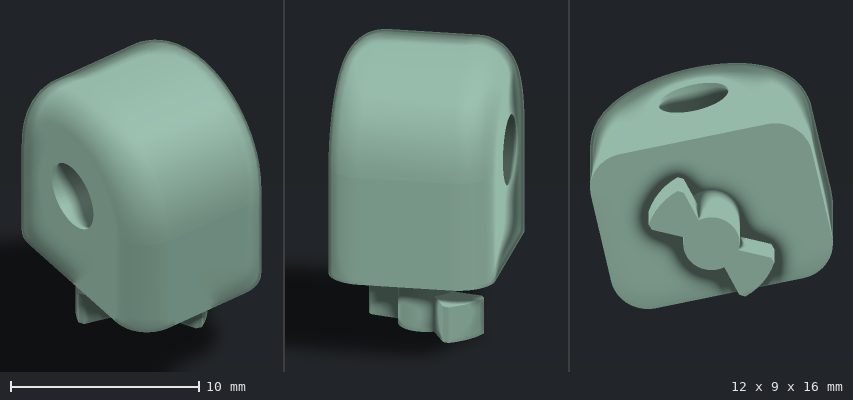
import cadquery as cq
import math

body_width = 12.0
body_depth = 9.0
edge_radius = 2.0
hole_diameter = 3.8
arch_radius = body_width / 2
arch_height = body_width / 2

stem_diameter = 3.0
stem_length = 4.0
lug_height = stem_length / 2
lug_outer_radius = 3.5
lug_chamfer = 0.24
lug_middle_angle = 51.0
lug_spread_angle = 49.0
lug_count = 2


def make_body():
    """Arched block with rounded long edges and a cross hole; its base lies on Z = 0."""
    block = (
        cq.Workplane("XZ")
        .moveTo(-arch_radius, 0)
        .lineTo(-arch_radius, arch_height)
        .threePointArc((0, arch_height + arch_radius), (arch_radius, arch_height))
        .lineTo(arch_radius, 0)
        .close()
        .extrude(body_depth / 2, both=True)
    )
    outline_edges = block.faces("|Y").edges("not(<Z)")
    block = outline_edges.fillet(edge_radius)
    hole = (
        cq.Workplane("XZ")
        .center(0, arch_height)
        .circle(hole_diameter / 2)
        .extrude(body_depth, both=True)
    )
    return block.cut(hole)


def point_on_lug_rim(angle):
    """Point on the lug's outer circle at an angle in degrees from +X."""
    turn = math.radians(angle)
    return lug_outer_radius * math.cos(turn), lug_outer_radius * math.sin(turn)


def make_lug(middle_angle):
    """Sector from the stem axis outwards with chamfered outer corners."""
    half_spread = lug_spread_angle / 2
    sector = (
        cq.Workplane("XY", origin=(0, 0, -stem_length))
        .lineTo(*point_on_lug_rim(middle_angle - half_spread))
        .threePointArc(
            point_on_lug_rim(middle_angle),
            point_on_lug_rim(middle_angle + half_spread),
        )
        .close()
        .extrude(lug_height)
    )
    turn = math.radians(middle_angle)
    outward = cq.Vector(math.cos(turn), math.sin(turn), 0)
    outer_corners = sector.edges("|Z").edges(cq.selectors.DirectionMinMaxSelector(outward, True))
    return outer_corners.chamfer(lug_chamfer)


result = make_body()
stem = cq.Workplane("XY").circle(stem_diameter / 2).extrude(-stem_length)
result = result.union(stem)
for index in range(lug_count):
    result = result.union(make_lug(lug_middle_angle + index * 360 / lug_count))